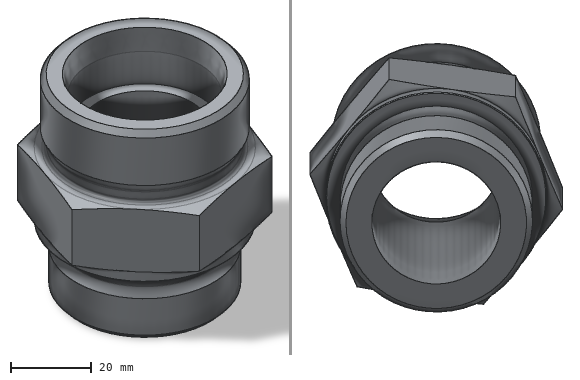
import cadquery as cq
import math

height = 64.0
bore_diameter = 32.0
socket_diameter = 38.3
socket_depth = 16.05
mouth_diameter = 40.95
mouth_half_angle = 12.0

across_flats = 55.0
collar_diameter = across_flats
collar_bottom = 20.0
hex_bottom = 23.1
hex_top = 41.9
hex_chamfer_angle = 14.0
collar_chamfer = 0.25

lower_diameter = 47.8
lower_groove_diameter = 44.3
lower_thread_top = 12.6
lower_groove_middle = 15.75
lower_groove_fillet = 1.3
lower_chamfer_width = 1.5

upper_diameter = 52.0
upper_groove_diameter = 49.0
upper_groove_top = 45.45
upper_thread_bottom = 48.05
upper_groove_fillet = 1.1
upper_chamfer_width = (upper_diameter - upper_groove_diameter) / 2
end_chamfer_height = 1.65


def revolve_profile(points):
    """Revolve a closed (radius, height) outline about the Z axis."""
    return cq.Workplane("XZ").polyline(points).close().revolve(360, (0, 0), (0, 1))


def circles_at(height_above_base):
    """Select the circular edges lying at one height."""
    margin = 0.03
    reach = across_flats
    return cq.selectors.BoxSelector(
        (-reach, -reach, height_above_base - margin),
        (reach, reach, height_above_base + margin),
    )


def make_turned_body():
    lower_radius = lower_diameter / 2
    upper_radius = upper_diameter / 2
    neck_radius = upper_groove_diameter / 2
    collar_radius = collar_diameter / 2
    body = revolve_profile([
        (0, 0),
        (lower_radius - lower_chamfer_width, 0),
        (lower_radius, end_chamfer_height),
        (lower_radius, lower_thread_top),
        (lower_groove_diameter / 2, lower_groove_middle),
        (lower_radius, collar_bottom),
        (collar_radius - collar_chamfer, collar_bottom),
        (collar_radius, collar_bottom + collar_chamfer),
        (collar_radius, hex_top),
        (neck_radius, hex_top),
        (neck_radius, upper_groove_top),
        (upper_radius, upper_thread_bottom),
        (upper_radius, height - end_chamfer_height),
        (upper_radius - upper_chamfer_width, height),
        (0, height),
    ])
    body = body.edges(circles_at(lower_groove_middle)).fillet(lower_groove_fillet)
    body = body.edges(circles_at(upper_groove_top)).fillet(upper_groove_fillet)
    neck_foot = cq.selectors.RadiusNthSelector(0)
    return body.edges(circles_at(hex_top)).edges(neck_foot).fillet(upper_groove_fillet)


def make_hexagon():
    corner_radius = across_flats / 2 / math.cos(math.radians(30))
    flat_radius = across_flats / 2
    corner_drop = (corner_radius - flat_radius) * math.tan(math.radians(hex_chamfer_angle))
    hexagon = (
        cq.Workplane("XY").workplane(offset=hex_bottom)
        .polygon(6, 2 * corner_radius)
        .extrude(hex_top - hex_bottom)
        .rotate((0, 0, 0), (0, 0, 1), 30)
    )
    chamfer_envelope = revolve_profile([
        (0, hex_bottom),
        (flat_radius, hex_bottom),
        (corner_radius, hex_bottom + corner_drop),
        (corner_radius, hex_top - corner_drop),
        (flat_radius, hex_top),
        (0, hex_top),
    ])
    return hexagon.intersect(chamfer_envelope)


def make_bore():
    mouth_radius = mouth_diameter / 2
    socket_radius = socket_diameter / 2
    mouth_depth = (mouth_radius - socket_radius) / math.tan(math.radians(mouth_half_angle))
    return revolve_profile([
        (0, 0),
        (bore_diameter / 2, 0),
        (bore_diameter / 2, height - socket_depth),
        (socket_radius, height - socket_depth),
        (socket_radius, height - mouth_depth),
        (mouth_radius, height),
        (0, height),
    ])


result = make_turned_body().union(make_hexagon()).cut(make_bore())